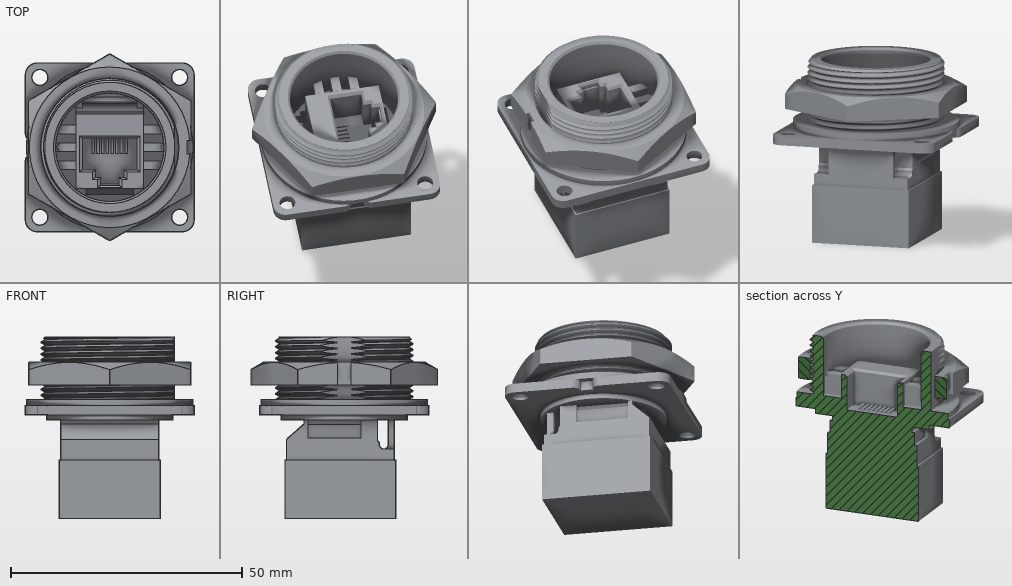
import cadquery as cq
import math

flange_thickness = 2.02
shoulder_top = 3.35
thread_top = 16.85
jack_face = 8.85
floor_top = shoulder_top
rib_top = 8.0
collar_bottom = -1.05
box_top = -9.75
overall_height = 39.25
box_bottom = thread_top - overall_height

flange_side = 36.53
flange_corner_radius = 2.65
screw_hole_diameter = 3.4
screw_hole_offset = 15.1
shoulder_radius = 18.0
collar_radius = 13.66
notch_half_width = 1.38
notch_depth = 2.0
notch_lip_radius = 1.65

thread_pitch = 1.27
thread_root_radius = 14.05
thread_crest_radius = 14.85
thread_base_width = 1.1
thread_crest_width = 0.16
thread_embed = 0.12
thread_start = 2.35
thread_turns = 12
lead_in_radius = 14.0
thread_flat_x = 13.96
bore_radius = 11.7
bore_chamfer = 0.45

nut_bottom = 6.45
nut_height = 5.0
nut_sides = 6
nut_across_flats = 35.0
nut_corner_diameter = 40.33
nut_face_radius = 17.35
nut_chamfer_angle = 30
nut_bore_radius = thread_crest_radius
nut_bore_mouth_radius = 14.95
nut_slot_width = 2.88
nut_slot_floor = 16.7

face_half_width = 7.3
face_front = -8.92
rib_width = 1.9
rib_pitch = 3.85
rib_count = 3
pointer_length = 0.95
pointer_depth = 1.0
window_half_width = 5.1
window_front = -10.17

port_half_width = 5.93
port_shoulder_half_width = 3.1
port_key_half_width = 2.0
port_back = 2.0
port_front = -4.87
port_shoulder_front = -6.5
port_key_front = -8.2
port_catch_front = -7.9
port_catch_depth = 1.5
port_bevel_x = 0.62
port_bevel_y = 0.45
port_bevel_depth = 0.5
port_depth = 8.0
contact_count = 8
contact_pitch = 1.016
contact_width = 0.56
contact_front = -1.33
contact_height = 0.5

body_half_width = 10.6
body_front = -12.48
body_back = 10.83
slope_top_y = -8.72
slope_top_z = -1.94
slope_bottom_z = -5.25
box_half_width = 10.95
box_front = -12.8
box_back = 11.15

latch_inner = 9.47
slot_radius = 0.93
slot_bottom = -7.35
slot_front = 7.2
slot_step_z = -5.55
latch_top = floor_top + 0.5
latch_bevel = 0.35
latch_lug_front = 8.5
latch_lug_inner_x = 5.93
latch_nose_reach = 1.2
latch_nose_bottom = 0.5

recess_front = -7.85
recess_back = 3.6
recess_bottom = -5.0
recess_step_z = -2.1
recess_depth = 0.6
recess_step_depth = 1.2


def block(x0, x1, y0, y1, z0, z1):
    """Box given by its limits along each axis."""
    return cq.Workplane("XY").box(x1 - x0, y1 - y0, z1 - z0, centered=False).translate((x0, y0, z0))


def disc(radius, z0, z1):
    """Cylinder on the Z axis between two heights."""
    return cq.Workplane("XY").workplane(offset=z0).circle(radius).extrude(z1 - z0)


def make_ridge(turns):
    """Right-hand helical thread ridge that starts on the +X side."""
    flank_slope = (thread_base_width - thread_crest_width) / 2 / (thread_crest_radius - thread_root_radius)
    ridge_root = thread_root_radius - thread_embed
    root_half_width = thread_base_width / 2 + thread_embed * flank_slope
    path = cq.Wire.makeHelix(thread_pitch, turns * thread_pitch, thread_root_radius)
    return (
        cq.Workplane("XZ")
        .polyline([
            (ridge_root, -root_half_width),
            (thread_crest_radius, -thread_crest_width / 2),
            (thread_crest_radius, thread_crest_width / 2),
            (ridge_root, root_half_width),
        ])
        .close()
        .sweep(cq.Workplane(path), isFrenet=True)
        .translate((0, 0, thread_start))
    )


def make_bore():
    """Chamfered bore from the floor to the open end of the barrel."""
    chamfer = (
        cq.Workplane("XY")
        .workplane(offset=thread_top)
        .circle(bore_radius + bore_chamfer)
        .extrude(-bore_chamfer, taper=45)
    )
    return disc(bore_radius, floor_top, thread_top).union(chamfer)


def make_barrel():
    """Threaded barrel with a lead-in cone and a flat that interrupts every turn on the +X side."""
    flat = block(thread_flat_x, shoulder_radius, -shoulder_radius, shoulder_radius, 0, thread_top)
    cone_height = shoulder_radius - lead_in_radius
    limits = disc(shoulder_radius, shoulder_top, thread_top).faces(">Z").chamfer(cone_height)
    turn = make_ridge(1).cut(flat)
    barrel = disc(thread_root_radius, shoulder_top, thread_top).cut(flat)
    for index in range(thread_turns):
        placed_turn = turn.translate((0, 0, index * thread_pitch)).intersect(limits)
        barrel = barrel.union(placed_turn, clean=False)
    return barrel.cut(make_bore())


def make_flange():
    """Square flange with corner holes and a round-lipped notch in its -X edge."""
    edge = flange_side / 2
    flange = (
        cq.Workplane("XY")
        .rect(flange_side, flange_side)
        .extrude(flange_thickness)
        .edges("|Z")
        .fillet(flange_corner_radius)
    )
    holes = (
        cq.Workplane("XY")
        .rect(2 * screw_hole_offset, 2 * screw_hole_offset, forConstruction=True)
        .vertices()
        .circle(screw_hole_diameter / 2)
        .extrude(flange_thickness)
    )
    mouth = notch_half_width + notch_lip_radius
    lip_mid = notch_lip_radius * (1 - math.sqrt(0.5))
    notch = (
        cq.Workplane("XY")
        .moveTo(-edge, mouth)
        .threePointArc(
            (-edge + lip_mid, notch_half_width + lip_mid),
            (-edge + notch_lip_radius, notch_half_width),
        )
        .lineTo(-edge + notch_depth, notch_half_width)
        .lineTo(-edge + notch_depth, -notch_half_width)
        .lineTo(-edge + notch_lip_radius, -notch_half_width)
        .threePointArc((-edge + lip_mid, -notch_half_width - lip_mid), (-edge, -mouth))
        .close()
        .extrude(flange_thickness)
    )
    return flange.cut(holes).cut(notch)


def make_jack_body():
    """Sloped jack body with its latch slot, side recesses and the rear box."""
    slot_center_y = latch_inner - slot_radius
    slot_center_z = slot_bottom + slot_radius
    slot_narrow_y = slot_center_y - slot_radius
    slot_narrow_z = slot_step_z - (slot_narrow_y - slot_front)
    body = (
        cq.Workplane("YZ")
        .polyline([
            (body_back, box_top),
            (body_back, collar_bottom),
            (slope_top_y, collar_bottom),
            (slope_top_y, slope_top_z),
            (body_front, slope_bottom_z),
            (body_front, box_top),
        ])
        .close()
        .extrude(body_half_width, both=True)
    )
    slot = (
        cq.Workplane("YZ")
        .moveTo(latch_inner, collar_bottom)
        .lineTo(latch_inner, slot_center_z)
        .threePointArc((slot_center_y, slot_bottom), (slot_narrow_y, slot_center_z))
        .lineTo(slot_narrow_y, slot_narrow_z)
        .lineTo(slot_front, slot_step_z)
        .lineTo(slot_front, collar_bottom)
        .close()
        .extrude(body_half_width, both=True)
    )
    body = body.cut(slot)
    for side in (-1, 1):
        inner, outer = sorted((side * face_half_width, side * body_half_width))
        body = body.cut(block(inner, outer, slot_center_y, body_back, slot_bottom, collar_bottom))
        for depth, bottom in ((recess_depth, recess_bottom), (recess_step_depth, recess_step_z)):
            near, far = sorted((side * (body_half_width - depth), side * body_half_width))
            body = body.cut(block(near, far, recess_front, recess_back, bottom, collar_bottom))
    box = block(-box_half_width, box_half_width, box_front, box_back, box_bottom, box_top)
    return body.union(box)


def make_latch():
    """Upper end of the latch: plate, two inward lugs and an outward wedge nose."""
    latch = block(-face_half_width, face_half_width, latch_inner, body_back, collar_bottom, latch_top)
    latch = latch.edges(">Z and <Y").chamfer(latch_bevel)
    for x in (-face_half_width, latch_lug_inner_x):
        lug_end = x + face_half_width - latch_lug_inner_x
        latch = latch.union(block(x, lug_end, latch_lug_front, body_back, collar_bottom, latch_top))
    nose = (
        cq.Workplane("YZ")
        .polyline([
            (body_back, latch_top),
            (body_back + latch_nose_reach, latch_top - latch_nose_reach),
            (body_back + latch_nose_reach, latch_nose_bottom),
            (body_back, latch_nose_bottom),
        ])
        .close()
        .extrude(face_half_width, both=True)
    )
    return latch.union(nose)


def make_ribs():
    """Ribs on both sides of the jack face; the middle -X one ends in a point."""
    middle = (rib_count - 1) / 2
    ribs = None
    for index in range(rib_count):
        y = (index - middle) * rib_pitch
        rib = block(-bore_radius, bore_radius, y - rib_width / 2, y + rib_width / 2, floor_top, rib_top)
        ribs = rib if ribs is None else ribs.union(rib)
    for side in (-1, 1):
        corner = (
            cq.Workplane("XY")
            .workplane(offset=rib_top)
            .polyline([
                (-bore_radius, 0),
                (-bore_radius, side * rib_width / 2),
                (pointer_length - bore_radius, side * rib_width / 2),
            ])
            .close()
            .extrude(-pointer_depth)
        )
        ribs = ribs.cut(corner)
    return ribs.intersect(disc(bore_radius, floor_top, rib_top))


def port_outline(workplane, key_front, margin_x=0, margin_y=0):
    """Stepped plug outline, symmetric about X = 0 and widened by the given margins."""
    right = [
        (port_half_width + margin_x, port_back + margin_y),
        (port_half_width + margin_x, port_front - margin_y),
        (port_shoulder_half_width + margin_x, port_front - margin_y),
        (port_shoulder_half_width + margin_x, port_shoulder_front - margin_y),
        (port_key_half_width + margin_x, port_shoulder_front - margin_y),
        (port_key_half_width + margin_x, key_front - margin_y),
    ]
    left = [(-x, y) for x, y in reversed(right)]
    return workplane.polyline(right + left).close()


def make_port():
    """Plug cavity with a bevelled mouth, a catch step and contact strips standing on its floor."""
    port_floor = jack_face - port_depth
    catch_top = jack_face - port_catch_depth
    bevel_bottom = jack_face - port_bevel_depth
    deep = port_outline(cq.Workplane("XY").workplane(offset=port_floor), port_catch_front)
    entry = port_outline(cq.Workplane("XY").workplane(offset=catch_top), port_key_front)
    mouth = port_outline(cq.Workplane("XY").workplane(offset=bevel_bottom), port_key_front)
    mouth = port_outline(
        mouth.workplane(offset=port_bevel_depth), port_key_front, port_bevel_x, port_bevel_y
    )
    cavity = (
        deep.extrude(catch_top - port_floor)
        .union(entry.extrude(bevel_bottom - catch_top))
        .union(mouth.loft(ruled=True))
    )
    for index in range(contact_count):
        x = (index - (contact_count - 1) / 2) * contact_pitch
        half = contact_width / 2
        strip = block(x - half, x + half, contact_front, port_back, port_floor, port_floor + contact_height)
        cavity = cavity.cut(strip)
    return cavity


def make_connector():
    """Flanged threaded housing carrying the jack."""
    base = (
        make_flange()
        .union(disc(shoulder_radius, flange_thickness, shoulder_top))
        .union(disc(collar_radius, collar_bottom, flange_thickness))
    )
    window = block(-window_half_width, window_half_width, window_front, face_front, collar_bottom, floor_top)
    latch_opening = block(
        -face_half_width, face_half_width, slot_front, body_back + latch_nose_reach, collar_bottom, floor_top
    )
    face = block(-face_half_width, face_half_width, face_front, slot_front, collar_bottom, jack_face)
    base_with_jack = (
        base.cut(window)
        .cut(latch_opening.intersect(disc(bore_radius, collar_bottom, floor_top)))
        .union(make_jack_body())
        .union(make_latch())
        .union(make_ribs())
        .union(face)
        .cut(make_port())
    )
    return make_barrel().union(base_with_jack)


def make_nut():
    """Hexagon nut with a coned top, bored to the thread crests and slotted on its +X flat."""
    top = nut_bottom + nut_height
    nut = (
        cq.Workplane("XY")
        .workplane(offset=nut_bottom)
        .polygon(nut_sides, nut_across_flats / math.cos(math.pi / nut_sides))
        .extrude(nut_height)
        .rotate((0, 0, 0), (0, 0, 1), 180 / nut_sides)
    )
    corner_radius = nut_corner_diameter / 2
    cone_drop = (corner_radius - nut_face_radius) * math.tan(math.radians(nut_chamfer_angle))
    turned_blank = disc(corner_radius, nut_bottom, top).faces(">Z").chamfer(
        cone_drop, corner_radius - nut_face_radius
    )
    bore = disc(nut_bore_radius, nut_bottom, top)
    mouth_depth = nut_bore_mouth_radius - nut_bore_radius
    mouth = (
        cq.Workplane("XY")
        .workplane(offset=top)
        .circle(nut_bore_mouth_radius)
        .extrude(-mouth_depth, taper=45)
    )
    slot = block(
        nut_slot_floor, nut_across_flats, -nut_slot_width / 2, nut_slot_width / 2, nut_bottom, top
    )
    return nut.intersect(turned_blank).cut(bore).cut(mouth).cut(slot)


connector = make_connector()
nut = make_nut()
result = cq.Compound.makeCompound([connector.solids().val(), nut.solids().val()])